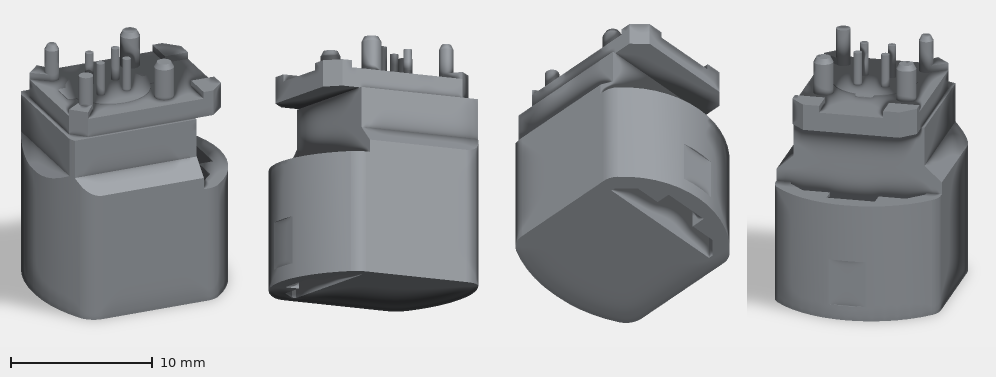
import cadquery as cq
import math


half_width = 6.0
rear_y = 8.59
front_y = -5.67
rear_arc_radius = 7.55
front_arc_radius = 10.45
front_flat_half = 0.21
rear_corner_radius = 1.5
front_corner_radius = 1.58
pick_margin = 0.18

shelf_z = 8.65
slope_bottom_z = 9.52
slope_top_z = 10.67
neck_top_z = 13.53
plate_top_z = 14.92
insert_top_z = 15.0
corner_pad_top_z = 15.44
contact_top_z = 17.4
post_top_z = 17.6

neck_half_width = 4.75
neck_rear_y = 4.77
neck_front_y = -4.84

plate_half_width = 4.52
plate_front_y = -plate_half_width
plate_rear_y = 7.18
plate_corner = 1.02
pad_inner_x = 2.32
pad_front_y = 5.4

opening_half_width = 4.9
opening_corner_y = 5.1
opening_rear_y = 6.25
opening_key_half_width = 1.76
opening_key_y = 7.34

recess_depth = 0.12
recess_bottom_z = 1.07
recess_top_z = 4.45

insert_radius = 3.01
rear_key_half_width = 0.67
rear_key_y = 3.45
front_key_half_width = 0.99
front_key_y = -3.47
key_corner = 0.15
contact_radius = 0.3
contact_offset = 1.0
post_offset = 3.01
rear_post_radius = 0.7
rear_post_tip_radius = 0.51
front_post_radius = 0.51
front_post_tip_radius = 0.32
post_tip_height = 0.37


def prism(points, bottom_z, top_z):
    """Closed polygon extruded between two heights."""
    return cq.Workplane("XY").workplane(offset=bottom_z).polyline(points).close().extrude(top_z - bottom_z)


def block(x_range, y_range, z_range):
    """Box given by its limits on each axis."""
    (x0, x1), (y0, y1) = x_range, y_range
    return prism([(x0, y0), (x1, y0), (x1, y1), (x0, y1)], *z_range)


def pin(x, y, radius, bottom_z, top_z):
    """Plain round pin."""
    return cq.Workplane("XY").workplane(offset=bottom_z).center(x, y).circle(radius).extrude(top_z - bottom_z)


def tapered_post(x, y, radius, tip_radius):
    """Round post standing on the plate, ending in a conical tip."""
    profile = [
        (0, neck_top_z),
        (radius, neck_top_z),
        (radius, post_top_z - post_tip_height),
        (tip_radius, post_top_z),
        (0, post_top_z),
    ]
    post = cq.Workplane("XZ").polyline(profile).close().revolve(360, (0, 0), (0, 1))
    return post.translate((x, y, 0))


def make_column():
    """Housing outline extruded up to the top of the neck."""
    rear_centre_y = rear_y - rear_arc_radius
    front_centre_y = front_y + front_arc_radius
    arc_span = half_width - front_flat_half
    rear_corner_y = rear_centre_y + math.sqrt(rear_arc_radius**2 - half_width**2)
    front_corner_y = front_centre_y - math.sqrt(front_arc_radius**2 - arc_span**2)
    mid_angle = math.asin(arc_span / front_arc_radius) / 2
    mid_x = front_flat_half + front_arc_radius * math.sin(mid_angle)
    mid_y = front_centre_y - front_arc_radius * math.cos(mid_angle)

    column = (
        cq.Workplane("XY")
        .moveTo(-front_flat_half, front_y)
        .lineTo(front_flat_half, front_y)
        .threePointArc((mid_x, mid_y), (half_width, front_corner_y))
        .lineTo(half_width, rear_corner_y)
        .threePointArc((0, rear_y), (-half_width, rear_corner_y))
        .lineTo(-half_width, front_corner_y)
        .threePointArc((-mid_x, mid_y), (-front_flat_half, front_y))
        .close()
        .extrude(neck_top_z)
    )
    for corner_y, radius in ((rear_corner_y, rear_corner_radius), (front_corner_y, front_corner_radius)):
        corners = cq.selectors.BoxSelector(
            (-half_width - pick_margin, corner_y - pick_margin, 0),
            (half_width + pick_margin, corner_y + pick_margin, neck_top_z),
        )
        column = column.edges("|Z").edges(corners).fillet(radius)
    return column


def make_housing():
    """Column narrowed to the neck by slopes at the sides and front and by a step at the rear."""
    side_profile = [
        (-half_width, 0),
        (half_width, 0),
        (half_width, slope_bottom_z),
        (neck_half_width, slope_top_z),
        (neck_half_width, neck_top_z),
        (-neck_half_width, neck_top_z),
        (-neck_half_width, slope_top_z),
        (-half_width, slope_bottom_z),
    ]
    depth_profile = [
        (front_y, 0),
        (rear_y, 0),
        (rear_y, shelf_z),
        (neck_rear_y, shelf_z),
        (neck_rear_y, neck_top_z),
        (neck_front_y, neck_top_z),
        (neck_front_y, slope_top_z),
        (front_y, slope_bottom_z),
    ]
    side_envelope = cq.Workplane("XZ").polyline(side_profile).close().extrude(rear_y - front_y, both=True)
    depth_envelope = cq.Workplane("YZ").polyline(depth_profile).close().extrude(half_width, both=True)
    return make_column().intersect(side_envelope).intersect(depth_envelope)


def make_rear_opening():
    """Through opening behind the neck, with 45 degree corners and a narrower key at the rear."""
    corner = opening_rear_y - opening_corner_y
    rear_half_width = opening_half_width - corner
    right_side = [
        (opening_half_width, neck_rear_y),
        (opening_half_width, opening_corner_y),
        (rear_half_width, opening_rear_y),
        (opening_key_half_width, opening_rear_y),
        (opening_key_half_width, opening_key_y),
    ]
    left_side = [(-x, y) for x, y in reversed(right_side)]
    return prism(right_side + left_side, 0, shelf_z)


def make_rear_recess():
    """Flat shallow cut across the crown of the rear face."""
    return block(
        (-half_width, half_width), (rear_y - recess_depth, rear_y), (recess_bottom_z, recess_top_z)
    )


def cut_corner_plate(top_z):
    """Plate with four cut corners, extruded from the neck up to the given height."""
    width = 2 * plate_half_width
    depth = plate_rear_y - plate_front_y
    blank = cq.Workplane("XY").workplane(offset=neck_top_z).center(0, (plate_rear_y + plate_front_y) / 2)
    return blank.rect(width, depth).extrude(top_z - neck_top_z).edges("|Z").chamfer(plate_corner)


def make_plate():
    """Plate with two raised pads at its rear corners and two more running into the front posts."""
    pad_heights = (plate_top_z, corner_pad_top_z)
    rear_pads = block((-plate_half_width, plate_half_width), (pad_front_y, plate_rear_y), pad_heights)
    rear_pads = rear_pads.cut(block((-pad_inner_x, pad_inner_x), (pad_front_y, plate_rear_y), pad_heights))
    plate = cut_corner_plate(plate_top_z).union(rear_pads.intersect(cut_corner_plate(corner_pad_top_z)))

    inner_half = front_post_radius / math.sqrt(2)
    for side in (-1, 1):
        pad = [
            (side * plate_half_width, plate_front_y + plate_corner),
            (side * (plate_half_width - plate_corner), plate_front_y),
            (side * (post_offset - inner_half), -post_offset - inner_half),
            (side * (post_offset + inner_half), -post_offset + inner_half),
        ]
        plate = plate.union(prism(pad, *pad_heights))
    return plate


def insert_key(half, tip_y):
    """Key from the insert axis out to tip_y, with cut outer corners."""
    corner_y = tip_y - math.copysign(key_corner, tip_y)
    points = [
        (-half, 0),
        (half, 0),
        (half, corner_y),
        (half - key_corner, tip_y),
        (key_corner - half, tip_y),
        (-half, corner_y),
    ]
    return prism(points, neck_top_z, insert_top_z)


def make_insert():
    """Round insert with two keys, standing slightly proud of the plate, and its four contacts."""
    insert = pin(0, 0, insert_radius, neck_top_z, insert_top_z)
    insert = insert.union(insert_key(rear_key_half_width, rear_key_y))
    insert = insert.union(insert_key(front_key_half_width, front_key_y))
    for x in (-contact_offset, contact_offset):
        for y in (-contact_offset, contact_offset):
            insert = insert.union(pin(x, y, contact_radius, neck_top_z, contact_top_z))
    return insert


def make_posts():
    """Two thick rear posts and two thinner front ones; the right front post has no conical tip."""
    posts = pin(post_offset, -post_offset, front_post_radius, neck_top_z, post_top_z)
    posts = posts.union(tapered_post(-post_offset, -post_offset, front_post_radius, front_post_tip_radius))
    for x in (-post_offset, post_offset):
        posts = posts.union(tapered_post(x, post_offset, rear_post_radius, rear_post_tip_radius))
    return posts


housing = make_housing().cut(make_rear_opening()).cut(make_rear_recess())
result = housing.union(make_plate()).union(make_insert()).union(make_posts())